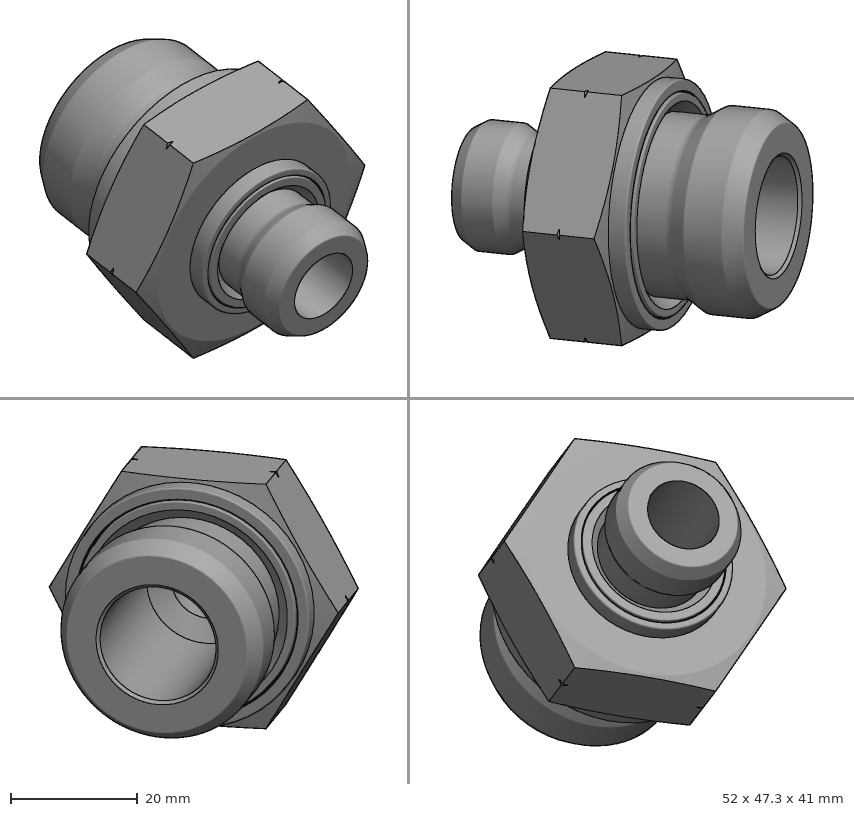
import cadquery as cq
import math

length = 52.0
hex_start = 21.0
hex_end = 35.1
hex_middle = (hex_start + hex_end) / 2

across_flats = 41.0
across_corners = across_flats / math.cos(math.radians(30))
hex_chamfer_angle = 15.0
notch_depth = 0.45
notch_half_width = 0.25

large_thread_d = 33.25
large_tip_d = 29.7
large_neck_d = 29.5
large_thread_end = 9.55
large_tip_round = 0.3
large_crest_round = 0.5
large_root_round = 1.55
large_collar_d = 40.0
large_collar_face = 18.0
large_collar_round = 0.25

small_thread_d = 20.95
small_tip_d = 18.35
small_neck_d = 18.3
small_thread_start = 44.45
small_tip_round = 0.3
small_crest_round = 0.25
small_root_round = 1.25
small_collar_d = 26.7
small_collar_face = 38.05
small_collar_round = 0.3

large_bore_d = 19.0
large_bore_depth = 28.6
bore_entry_chamfer = 0.5
through_bore_d = 12.0
drill_tip_angle = 120.0

groove_depth = 2.1
large_groove_d = 36.05
groove_edge_chamfer = 0.15
large_seal_d = 35.7
large_seal_proud = 0.45
large_seal_bevel = 1.8
large_seal_bevel_depth = 1.65
small_groove_d = 24.0
small_seal_d = 23.9
small_seal_proud = 0.35
small_seal_bevel = 1.3
small_seal_bevel_depth = 1.2
seal_round = 0.15

thread_flank = math.tan(math.radians(30))


def revolve_profile(points):
    """Revolve (x, radius) points about the X axis."""
    return cq.Workplane("XY").polyline(points).close().revolve(360, (0, 0, 0), (1, 0, 0))


def round_edge(body, x, diameter, radius):
    """Fillet the circular edge at station x with the given diameter."""
    margin = 0.005
    reach = diameter / 2 + margin
    inner = diameter / 2 - margin
    outer_box = cq.selectors.BoxSelector((x - margin, -reach, -reach), (x + margin, reach, reach), True)
    inner_box = cq.selectors.BoxSelector((x - margin, -inner, -inner), (x + margin, inner, inner), True)
    return body.edges(outer_box - inner_box).fillet(radius)


def make_stud(tip_x, inward, thread_d, tip_d, neck_d, crest_x, collar_x, collar_d, groove_d, rounds):
    """Plain thread with tapered tip and runout, neck, and collar with a seal groove in its face.

    inward is +1 or -1, the X direction from the tip towards the hexagon.
    """
    tip_round, crest_round, root_round, collar_round = rounds
    tip_taper_x = tip_x + inward * (thread_d - tip_d) / 2 / thread_flank
    neck_x = crest_x + inward * (thread_d - neck_d) / 2 / thread_flank
    groove_floor_x = collar_x + inward * groove_depth
    stud = revolve_profile([
        (tip_x, 0),
        (tip_x, tip_d / 2),
        (tip_taper_x, thread_d / 2),
        (crest_x, thread_d / 2),
        (neck_x, neck_d / 2),
        (groove_floor_x, neck_d / 2),
        (groove_floor_x, groove_d / 2),
        (collar_x + inward * groove_edge_chamfer, groove_d / 2),
        (collar_x, groove_d / 2 + groove_edge_chamfer),
        (collar_x, collar_d / 2),
        (hex_middle, collar_d / 2),
        (hex_middle, 0),
    ])
    stud = round_edge(stud, tip_x, tip_d, tip_round)
    stud = round_edge(stud, tip_taper_x, thread_d, crest_round)
    stud = round_edge(stud, crest_x, thread_d, crest_round)
    stud = round_edge(stud, neck_x, neck_d, root_round)
    return round_edge(stud, collar_x, collar_d, collar_round)


def make_hexagon():
    """Hexagon with chamfered corners on both faces and a V notch across each corner."""
    prism = (
        cq.Workplane("YZ", origin=(hex_start, 0, 0))
        .polygon(6, across_corners)
        .extrude(hex_end - hex_start)
    )
    corner_r = across_corners / 2
    face_r = large_collar_d / 2
    chamfer = (corner_r - face_r) * math.tan(math.radians(hex_chamfer_angle))
    envelope = revolve_profile([
        (hex_start, 0),
        (hex_start, face_r),
        (hex_start + chamfer, corner_r),
        (hex_middle - notch_half_width, corner_r),
        (hex_middle, corner_r - notch_depth),
        (hex_middle + notch_half_width, corner_r),
        (hex_end - chamfer, corner_r),
        (hex_end, face_r),
        (hex_end, 0),
    ])
    return prism.intersect(envelope)


def make_bore():
    """Stepped through bore with a drill-point cone and a chamfered entry."""
    large_r = large_bore_d / 2
    through_r = through_bore_d / 2
    cone_length = (large_r - through_r) / math.tan(math.radians(drill_tip_angle / 2))
    return revolve_profile([
        (0, 0),
        (0, large_r + bore_entry_chamfer),
        (bore_entry_chamfer, large_r),
        (large_bore_depth, large_r),
        (large_bore_depth + cone_length, through_r),
        (length, through_r),
        (length, 0),
    ])


def make_seal(collar_x, inward, outer_d, neck_d, proud, bevel, bevel_depth):
    """Seal ring seated on the groove floor, standing proud, with a bevelled bore."""
    front_x = collar_x - inward * proud
    floor_x = collar_x + inward * groove_depth
    seal = revolve_profile([
        (front_x, neck_d / 2 + bevel),
        (front_x, outer_d / 2),
        (floor_x, outer_d / 2),
        (floor_x, neck_d / 2),
        (front_x + inward * bevel_depth, neck_d / 2),
    ])
    return round_edge(seal, front_x, outer_d, seal_round)


large_stud = make_stud(
    0, 1, large_thread_d, large_tip_d, large_neck_d,
    large_thread_end, large_collar_face, large_collar_d, large_groove_d,
    (large_tip_round, large_crest_round, large_root_round, large_collar_round),
)
small_stud = make_stud(
    length, -1, small_thread_d, small_tip_d, small_neck_d,
    small_thread_start, small_collar_face, small_collar_d, small_groove_d,
    (small_tip_round, small_crest_round, small_root_round, small_collar_round),
)
adapter = (
    make_hexagon()
    .union(large_stud)
    .union(small_stud)
    .cut(make_bore())
)

large_seal = make_seal(
    large_collar_face, 1, large_seal_d, large_neck_d,
    large_seal_proud, large_seal_bevel, large_seal_bevel_depth,
)
small_seal = make_seal(
    small_collar_face, -1, small_seal_d, small_neck_d,
    small_seal_proud, small_seal_bevel, small_seal_bevel_depth,
)

result = cq.Compound.makeCompound([adapter.val(), large_seal.val(), small_seal.val()])